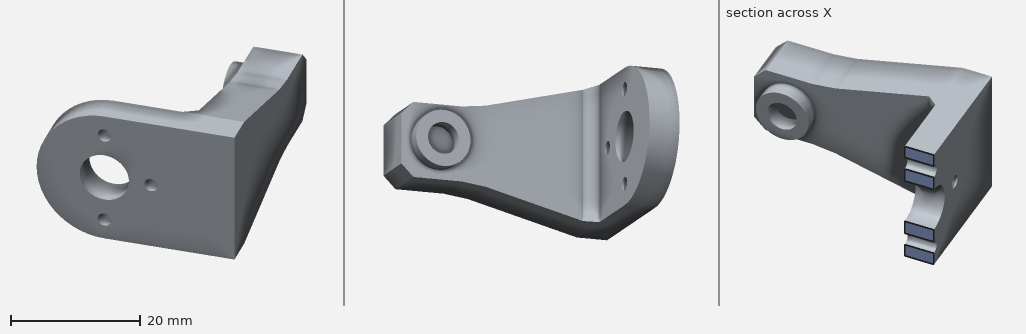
import cadquery as cq

total_length = 36.98
total_width = 32.15
plate_height = 22.0
plate_thickness = 5.0
plate_radius = plate_height / 2
right_side = total_width - plate_radius

main_hole_diameter = 8.0
small_hole_diameter = 2.2
small_hole_offset = 7.58

arm_thickness = 8.0
arm_end_height = 12.02
arm_inner_side = right_side - arm_thickness
corner_chamfer = 2.0
taper_start = 25.0
taper_chamfer = 2.0

boss_diameter = 9.0
boss_height = 2.5
boss_end_distance = 6.0
bore_diameter = 5.05
bore_depth = 2.77


def make_plate():
    """Upright plate with a full round on its left side and four through holes."""
    plate = (
        cq.Workplane("XZ")
        .moveTo(right_side, -plate_radius)
        .lineTo(right_side, plate_radius)
        .lineTo(0, plate_radius)
        .threePointArc((-plate_radius, 0), (0, -plate_radius))
        .close()
        .extrude(-plate_thickness)
    )
    main_hole = cq.Workplane("XZ").circle(main_hole_diameter / 2).extrude(-plate_thickness)
    small_hole_centres = [(0, small_hole_offset), (0, -small_hole_offset), (small_hole_offset, 0)]
    small_holes = (
        cq.Workplane("XZ")
        .pushPoints(small_hole_centres)
        .circle(small_hole_diameter / 2)
        .extrude(-plate_thickness)
    )
    return plate.cut(main_hole).cut(small_holes)


def make_arm():
    """Tapered arm with a chamfered free end and a sloped foot where it meets the plate."""
    half_end = arm_end_height / 2
    half_tip = half_end - corner_chamfer
    upper_side = [
        (plate_thickness, plate_radius),
        (taper_start, half_end),
        (total_length - corner_chamfer, half_end),
        (total_length, half_tip),
    ]
    lower_side = [(y, -z) for y, z in reversed(upper_side)]
    tapered = (
        cq.Workplane("YZ", origin=(arm_inner_side - corner_chamfer, 0, 0))
        .polyline(upper_side + lower_side)
        .close()
        .extrude(arm_thickness + corner_chamfer)
    )
    for side in (1, -1):
        bend_edge = cq.selectors.NearestToPointSelector((arm_inner_side, taper_start, side * half_end))
        tapered = tapered.edges("|X").edges(bend_edge).chamfer(taper_chamfer)

    plan = (
        cq.Workplane("XY", origin=(0, 0, -plate_radius))
        .polyline([
            (arm_inner_side - corner_chamfer, plate_thickness),
            (arm_inner_side, plate_thickness + corner_chamfer),
            (arm_inner_side, total_length),
            (right_side, total_length),
            (right_side, plate_thickness),
        ])
        .close()
        .extrude(plate_height)
    )
    return tapered.intersect(plan)


def make_cylinder(diameter, length):
    """Cylinder along X, starting at the boss face and running toward the arm."""
    boss_face_origin = (arm_inner_side - boss_height, total_length - boss_end_distance, 0)
    return cq.Workplane("YZ", origin=boss_face_origin).circle(diameter / 2).extrude(length)


boss = make_cylinder(boss_diameter, boss_height)
bore = make_cylinder(bore_diameter, bore_depth)

result = make_plate().union(make_arm()).union(boss).cut(bore)